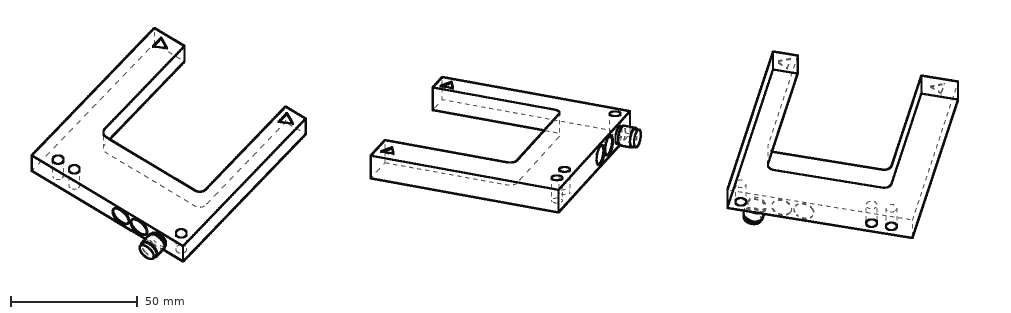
import cadquery as cq

width = 75.0
thickness = 10.0
overall_length = 88
connector_length = 8.0
body_length = overall_length - connector_length
mid_height = thickness / 2

left_arm_width = 15.0
right_arm_width = 10.0
opening_depth = 55.0
opening_corner_radius = 3.0

hole_diameter = 4.3
hole_setback = 4.6
hole_positions_x = (9.6, 17.6, 70.6)

recess_diameter = 8.0
recess_depth = 0.4
recess_positions_x = (44.0, 53.0)

connector_x = 63.0
neck_diameter = 7.1
collar_diameter = 8.0
collar_start = 1.3
collar_length = 5.0

arrow_length = 5.0
arrow_width = 5.5
arrow_depth = 0.5
arrow_setback = 5.0
arrow_positions_x = (5.1, 67.4)


def make_body():
    opening_width = width - left_arm_width - right_arm_width
    body = cq.Workplane("XY").box(width, body_length, thickness, centered=False)
    opening = (
        cq.Workplane("XY")
        .box(opening_width, 2 * opening_depth, thickness, centered=False)
        .edges("|Z")
        .fillet(opening_corner_radius)
        .translate((left_arm_width, body_length - opening_depth, 0))
    )
    return body.cut(opening)


def front_cylinder(x, diameter, start, length):
    """Cylinder running along +Y from Y = start, centred in the thickness."""
    return cq.Workplane("XY").add(
        cq.Solid.makeCylinder(
            diameter / 2, length, cq.Vector(x, start, mid_height), cq.Vector(0, 1, 0)
        )
    )


def make_connector():
    neck = front_cylinder(connector_x, neck_diameter, -connector_length, connector_length)
    collar_end = -collar_start - collar_length
    collar = front_cylinder(connector_x, collar_diameter, collar_end, collar_length)
    return neck.union(collar)


def make_arrow(x):
    """Triangular cutter pointing along +X, sunk into the top face."""
    y = body_length - arrow_setback
    return (
        cq.Workplane("XY", origin=(x, y, thickness - arrow_depth))
        .moveTo(0, -arrow_width / 2)
        .lineTo(arrow_length, 0)
        .lineTo(0, arrow_width / 2)
        .close()
        .extrude(arrow_depth)
    )


def make_mounting_holes():
    return (
        cq.Workplane("XY")
        .pushPoints([(x, hole_setback) for x in hole_positions_x])
        .circle(hole_diameter / 2)
        .extrude(thickness)
    )


result = make_body().cut(make_mounting_holes())
for recess_x in recess_positions_x:
    result = result.cut(front_cylinder(recess_x, recess_diameter, 0, recess_depth))
for arrow_x in arrow_positions_x:
    result = result.cut(make_arrow(arrow_x))
result = result.union(make_connector())